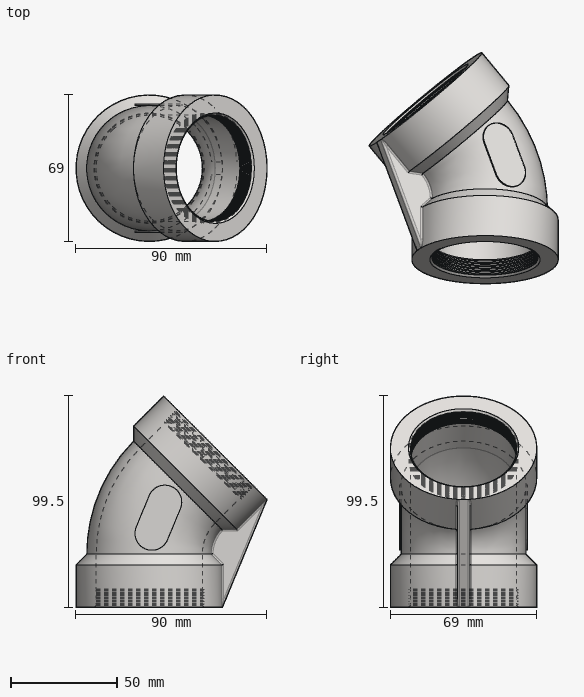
import cadquery as cq
import math


overall_height = 99.5
bend_angle = 45.0
collar_diameter = 69.0
collar_length = 20.0
neck_diameter = 58.9
bore_diameter = 50.0
mouth_chamfer = 1.0

thread_count = 6
thread_length = 8.2
thread_depth = 0.7
groove_width = 0.7
thread_start_gap = 0.2

rib_thickness = 6.0
rib_edge_fillet = 1.0
rib_root_fillet = 0.8

pad_thickness = 0.7
pad_end_radius = 8.0
pad_end_spacing = 15.9
pad_inset = 0.9

bend = math.radians(bend_angle)
half_bend = bend / 2
collar_radius = collar_diameter / 2
neck_radius = neck_diameter / 2
bore_radius = bore_diameter / 2
shoulder_length = collar_radius - neck_radius
socket_length = collar_length + shoulder_length
centre_to_end = (overall_height - collar_radius * math.sin(bend)) / (1 + math.cos(bend))
bend_radius = (centre_to_end - socket_length) / math.tan(half_bend)
upper_mouth_x = centre_to_end * math.sin(bend)
upper_mouth_z = centre_to_end * (1 + math.cos(bend))

lower_mouth = cq.Plane(origin=(0, 0, 0), xDir=(1, 0, 0), normal=(0, 0, 1))
upper_mouth = cq.Plane(
    origin=(upper_mouth_x, 0, upper_mouth_z),
    xDir=(math.cos(bend), 0, -math.sin(bend)),
    normal=(-math.sin(bend), 0, -math.cos(bend)),
)
mouths = [lower_mouth, upper_mouth]


def turned(mouth, outline):
    """Solid of revolution about a mouth's axis, from (radius, depth) points."""
    upright = cq.Workplane("XZ").polyline(outline).close().revolve(360, (0, 0, 0), (0, 1, 0))
    return cq.Workplane(upright.val().located(mouth.location))


def curved_bar(radius):
    """Round bar that follows the bend from one socket to the other."""
    return (
        cq.Workplane("XY", origin=(0, 0, socket_length))
        .circle(radius)
        .revolve(bend_angle, (bend_radius, 0, 0), (bend_radius, 1, 0))
    )


def collar(mouth):
    return turned(mouth, [
        (0, 0),
        (collar_radius, 0),
        (collar_radius, collar_length),
        (neck_radius, socket_length),
        (0, socket_length),
    ])


def socket_cavity(mouth):
    """Threaded bore with its mouth chamfer, as the material to remove."""
    thread_pitch = thread_length / thread_count
    outline = [
        (0, 0),
        (bore_radius + mouth_chamfer, 0),
        (bore_radius, mouth_chamfer),
    ]
    for groove in range(thread_count):
        depth = mouth_chamfer + thread_start_gap + groove * thread_pitch
        outline += [
            (bore_radius, depth),
            (bore_radius + thread_depth, depth + groove_width / 2),
            (bore_radius, depth + groove_width),
        ]
    outline += [(bore_radius, socket_length), (0, socket_length)]
    return turned(mouth, outline)


def rib():
    """Flat web from the lower collar's foot to the upper collar's rim, with its outer edges rounded."""
    foot = (collar_radius, 0)
    rim = (
        upper_mouth_x + collar_radius * math.cos(bend),
        upper_mouth_z - collar_radius * math.sin(bend),
    )
    axes_crossing = (0, centre_to_end)
    outer_face_middle = ((foot[0] + rim[0]) / 2, 0, (foot[1] + rim[1]) / 2)
    return (
        cq.Workplane("XZ")
        .polyline([foot, rim, axes_crossing])
        .close()
        .extrude(rib_thickness / 2, both=True)
        .faces(cq.selectors.NearestToPointSelector(outer_face_middle))
        .edges("not |Y")
        .fillet(rib_edge_fillet)
    )


def lies_on_rib_side(edge):
    """True for edges in one of the rib's two flat side planes."""
    box = edge.BoundingBox()
    tolerance = 0.001
    return box.ylen < tolerance and abs(abs(box.center.y) - rib_thickness / 2) < tolerance


def is_rib_outer_edge(edge):
    """True for the straight edges along the line from foot to rim, tilted by half the bend."""
    if edge.geomType() != "LINE":
        return False
    foot_to_rim = cq.Vector(math.sin(half_bend), 0, math.cos(half_bend))
    nearly_parallel = 0.999
    return abs(edge.tangentAt(0).dot(foot_to_rim)) > nearly_parallel


def elbow():
    body = curved_bar(neck_radius)
    for mouth in mouths:
        body = body.union(collar(mouth))
    body = body.union(rib())

    root_edges = [
        edge for edge in body.edges().vals() if lies_on_rib_side(edge) and not is_rib_outer_edge(edge)
    ]
    body = body.newObject(root_edges).fillet(rib_root_fillet)

    cavity = curved_bar(bore_radius)
    for mouth in mouths:
        cavity = cavity.union(socket_cavity(mouth))
    return body.cut(cavity)


def label_pad(side):
    """Flat rounded plate that touches the neck on the +Y (side = 1) or -Y (side = -1) side."""
    inset_radius = bend_radius - pad_inset
    return (
        cq.Workplane("XZ", origin=(0, side * neck_radius, 0))
        .center(
            bend_radius - inset_radius * math.cos(half_bend),
            socket_length + inset_radius * math.sin(half_bend),
        )
        .transformed(rotate=(0, 0, 90 - bend_angle / 2))
        .slot2D(pad_end_spacing + 2 * pad_end_radius, 2 * pad_end_radius)
        .extrude(-side * pad_thickness)
    )


elbow_body = elbow()
label_pads = [label_pad(side) for side in (1, -1)]

result = cq.Compound.makeCompound([elbow_body.val(), *[pad.val() for pad in label_pads]])